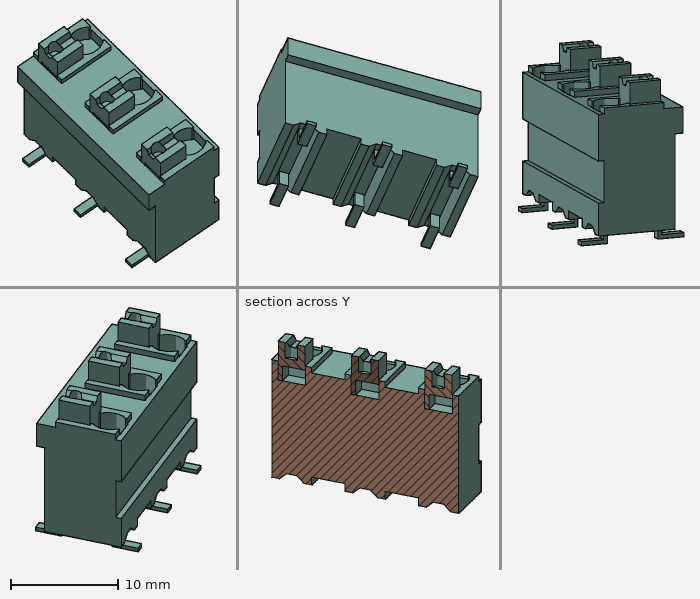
import cadquery as cq


pole_pitch = 7.5
pole_width = 4.13
pole_centers = [-pole_pitch, 0, pole_pitch]
housing_length = 2 * pole_pitch + pole_width

housing_depth = 7.7
housing_bottom = 1.19
housing_top = 12.84
lip_overhang = 0.8
lip_bottom = 10.33
back_groove_depth = 0.55
back_groove_bottom = 4.35
back_groove_top = 8.36

pad_front = 1.1
pad_back = 7.12
pad_top = 13.41

relief_height = 0.8
notch_height = 0.65
notch_mouth_width = 2.5
notch_roof_width = 1.05
notch_roof = housing_bottom + notch_height

recess_floor = 11.44
opening_offset = 0.05
opening_center_y = 5.7
opening_half_width = 1.5
slot_half_width = 1.0
bulge_half_depth = 1.26
slot_back = 7.2

button_width = 2.8
button_front = 1.19
button_back = 4.29
button_bottom = 12.95
button_top = 15.45
button_leg_thickness = 0.45
button_groove_depth = 0.54
button_groove_width = 1.19
button_groove_floor_width = 0.61
button_hole_diameter = 1.4
button_hole_center_y = 2.16
button_hole_offset = -0.04
button_hole_depth = 1.6

pin_width = 0.92
pin_thickness = 0.4
pin_row_center_y = 3.62
pin_inner_face = 2.53
pin_tip = 5.15


def box(x_min, x_max, y_min, y_max, z_min, z_max):
    """Axis-aligned block between the given limits."""
    size = (x_max - x_min, y_max - y_min, z_max - z_min)
    return cq.Workplane("XY").box(*size, centered=False).translate((x_min, y_min, z_min))


def trapezoid_prism(bottom_width, top_width, z_bottom, z_top, y_min, y_max):
    """Prism along Y with a symmetric trapezoid section about X = 0."""
    outline = [
        (-bottom_width / 2, z_bottom),
        (bottom_width / 2, z_bottom),
        (top_width / 2, z_top),
        (-top_width / 2, z_top),
    ]
    section = cq.Workplane("XZ", origin=(0, y_min, 0)).polyline(outline).close()
    return section.extrude(y_min - y_max)


def make_housing_blank():
    """Side profile with front lip and back groove, extruded along the whole row."""
    groove_wall = housing_depth - back_groove_depth
    profile = [
        (0, housing_bottom),
        (0, lip_bottom),
        (-lip_overhang, lip_bottom),
        (-lip_overhang, housing_top),
        (housing_depth, housing_top),
        (housing_depth, back_groove_top),
        (groove_wall, back_groove_top),
        (groove_wall, back_groove_bottom),
        (housing_depth, back_groove_bottom),
        (housing_depth, housing_bottom),
    ]
    side = cq.Workplane("YZ", origin=(-housing_length / 2, 0, 0)).polyline(profile).close()
    return side.extrude(housing_length)


def make_pad():
    """Raised pad of one pole, centred on X = 0."""
    return box(-pole_width / 2, pole_width / 2, pad_front, pad_back, housing_top, pad_top)


def make_wire_opening():
    """Slot with bulging sides, running from the button pocket past the back of the pad."""
    bulge_front = opening_center_y - bulge_half_depth
    bulge_back = opening_center_y + bulge_half_depth
    outline = (
        cq.Workplane("XY", origin=(opening_offset, 0, recess_floor))
        .moveTo(-slot_half_width, button_back)
        .lineTo(slot_half_width, button_back)
        .lineTo(slot_half_width, bulge_front)
        .threePointArc((opening_half_width, opening_center_y), (slot_half_width, bulge_back))
        .lineTo(slot_half_width, slot_back)
        .lineTo(-slot_half_width, slot_back)
        .lineTo(-slot_half_width, bulge_back)
        .threePointArc((-opening_half_width, opening_center_y), (-slot_half_width, bulge_front))
        .close()
    )
    return outline.extrude(pad_top - recess_floor)


def make_recess():
    """Button pocket, open through the front of the pad, joined to the wire opening."""
    half_width = button_width / 2
    pocket = box(-half_width, half_width, pad_front, button_back, recess_floor, pad_top)
    return pocket.union(make_wire_opening())


def make_pin_notch():
    """Trapezoid notch across the underside of one pole, where its pins meet the housing."""
    return trapezoid_prism(
        notch_mouth_width, notch_roof_width, housing_bottom, notch_roof, 0, housing_depth
    )


def make_relief():
    """Relief across the underside between two neighbouring poles, centred on X = 0."""
    half_width = (pole_pitch - pole_width) / 2
    relief_roof = housing_bottom + relief_height
    return box(-half_width, half_width, 0, housing_depth, housing_bottom, relief_roof)


def make_housing():
    body = make_housing_blank()
    for x in pole_centers:
        body = body.union(make_pad().translate((x, 0, 0)))
        body = body.cut(make_recess().translate((x, 0, 0)))
        body = body.cut(make_pin_notch().translate((x, 0, 0)))
    for x in (-pole_pitch / 2, pole_pitch / 2):
        body = body.cut(make_relief().translate((x, 0, 0)))
    return body


def make_button(x):
    """Release button on an L-shaped leg, with a groove and a blind hole in its top."""
    left = -button_width / 2
    block = box(left, -left, button_front, button_back, button_bottom, button_top)
    side_leg_right = left + button_leg_thickness
    back_leg_front = button_back - button_leg_thickness
    side_leg = box(left, side_leg_right, button_front, button_back, recess_floor, button_bottom)
    back_leg = box(left, -left, back_leg_front, button_back, recess_floor, button_bottom)
    groove = trapezoid_prism(
        button_groove_floor_width,
        button_groove_width,
        button_top - button_groove_depth,
        button_top,
        button_front,
        button_back,
    )
    hole = (
        cq.Workplane("XY", origin=(button_hole_offset, button_hole_center_y, button_top))
        .circle(button_hole_diameter / 2)
        .extrude(-button_hole_depth)
    )
    return block.union(side_leg).union(back_leg).cut(groove).cut(hole).translate((x, 0, 0))


def make_pin(x, side):
    """L-shaped pin with its foot pointing to the front (side = -1) or the back (side = 1)."""
    outer_face = pin_inner_face + pin_thickness
    outline = [
        (pin_inner_face, 0),
        (pin_tip, 0),
        (pin_tip, pin_thickness),
        (outer_face, pin_thickness),
        (outer_face, notch_roof),
        (pin_inner_face, notch_roof),
    ]
    points = [(pin_row_center_y + side * distance, z) for distance, z in outline]
    section = cq.Workplane("YZ", origin=(x - pin_width / 2, 0, 0)).polyline(points).close()
    return section.extrude(pin_width)


housing = make_housing()
buttons = [make_button(x) for x in pole_centers]
pins = [make_pin(x, side) for x in pole_centers for side in (-1, 1)]

result = cq.Compound.makeCompound([body.val() for body in [housing, *buttons, *pins]])